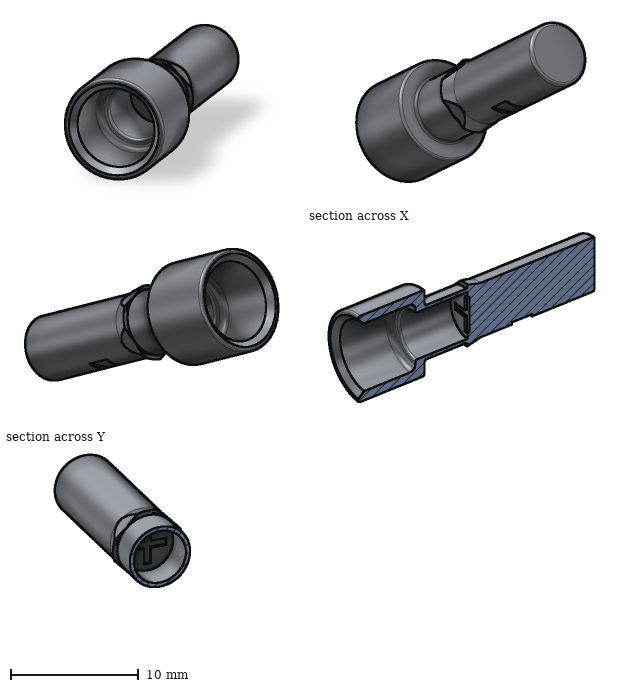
import cadquery as cq
import math


DIAGONAL = math.sqrt(0.5)

total_length = 22.8

head_diameter = 8.2
head_length = 6.4
head_edge_radius = 0.2

stem_diameter = 5.2
stem_end_radius = 0.27
stem_root_radius = 0.2

barb_diameter = 5.9
barb_start = 10.49
barb_length = 1.3
barb_root_radius = 0.1

mouth_diameter = 7.43
socket_diameter = 6.35
mouth_depth = 0.55
socket_depth = 5.47
socket_floor_radius = 0.52
bore_diameter = 4.4
bore_edge_radius = 0.2
bore_end = barb_start

cross_span = 3.28
cross_arm_width = 0.62
cross_depth = 0.23

flat_start = 14.82
flat_length = 1.94
flat_depth = 0.2


def cylinder(diameter, start, length):
    """Solid cylinder on the Y axis, running from start towards +Y."""
    return cq.Workplane("XZ", origin=(0, start, 0)).circle(diameter / 2).extrude(-length)


def make_head():
    head = cylinder(head_diameter, 0, head_length)
    return head.edges().fillet(head_edge_radius)


def make_stem():
    stem = cylinder(stem_diameter, socket_depth, total_length - socket_depth)
    return stem.faces(">Y").edges().fillet(stem_end_radius)


def make_stem_root():
    """Concave fillet where the stem leaves the head."""
    stem_radius = stem_diameter / 2
    root_end = head_length + stem_root_radius
    arc_inset = stem_root_radius * (1 - DIAGONAL)
    return (
        cq.Workplane("XY")
        .moveTo(0, head_length)
        .lineTo(stem_radius + stem_root_radius, head_length)
        .threePointArc((stem_radius + arc_inset, head_length + arc_inset), (stem_radius, root_end))
        .lineTo(0, root_end)
        .close()
        .revolve(360, (0, 0, 0), (0, 1, 0))
    )


def make_barb():
    """Cone with a filleted root, trimmed by four diagonal planes tangent to the stem."""
    stem_radius = stem_diameter / 2
    root_start = barb_start - barb_root_radius
    barb_end = barb_start + barb_length
    arc_inset = barb_root_radius * (1 - DIAGONAL)
    cone = (
        cq.Workplane("XY")
        .moveTo(0, root_start)
        .lineTo(stem_radius, root_start)
        .threePointArc(
            (stem_radius + arc_inset, barb_start - arc_inset),
            (stem_radius + barb_root_radius, barb_start),
        )
        .lineTo(barb_diameter / 2, barb_start)
        .lineTo(stem_radius, barb_end)
        .lineTo(0, barb_end)
        .close()
        .revolve(360, (0, 0, 0), (0, 1, 0))
    )
    trim = (
        cq.Workplane("XZ", origin=(0, root_start, 0))
        .transformed(rotate=(0, 0, 45))
        .rect(stem_diameter, stem_diameter)
        .extrude(-(barb_end - root_start))
    )
    return cone.intersect(trim)


def make_cavity():
    """Socket with a tapered mouth, and the rounded-edge bore beyond its floor."""
    mouth_radius = mouth_diameter / 2
    socket_radius = socket_diameter / 2
    bore_radius = bore_diameter / 2
    floor_arc_inset = socket_floor_radius * (1 - DIAGONAL)
    bore_arc_inset = bore_edge_radius * (1 - DIAGONAL)
    return (
        cq.Workplane("XY")
        .moveTo(0, 0)
        .lineTo(mouth_radius, 0)
        .lineTo(socket_radius, mouth_depth)
        .lineTo(socket_radius, socket_depth - socket_floor_radius)
        .threePointArc(
            (socket_radius - floor_arc_inset, socket_depth - floor_arc_inset),
            (socket_radius - socket_floor_radius, socket_depth),
        )
        .lineTo(bore_radius + bore_edge_radius, socket_depth)
        .threePointArc(
            (bore_radius + bore_arc_inset, socket_depth + bore_arc_inset),
            (bore_radius, socket_depth + bore_edge_radius),
        )
        .lineTo(bore_radius, bore_end)
        .lineTo(0, bore_end)
        .close()
        .revolve(360, (0, 0, 0), (0, 1, 0))
    )


def make_cross():
    floor = cq.Workplane("XZ", origin=(0, bore_end, 0))
    across = floor.rect(cross_span, cross_arm_width).extrude(-cross_depth)
    upright = floor.rect(cross_arm_width, cross_span).extrude(-cross_depth)
    return across.union(upright)


def make_underside_cut():
    flat_height = -(stem_diameter / 2 - flat_depth)
    return (
        cq.Workplane("XY", origin=(0, flat_start + flat_length / 2, flat_height))
        .rect(stem_diameter, flat_length)
        .extrude(-flat_depth)
    )


result = (
    make_head()
    .union(make_stem())
    .union(make_stem_root())
    .union(make_barb())
    .cut(make_cavity())
    .cut(make_cross())
    .cut(make_underside_cut())
)